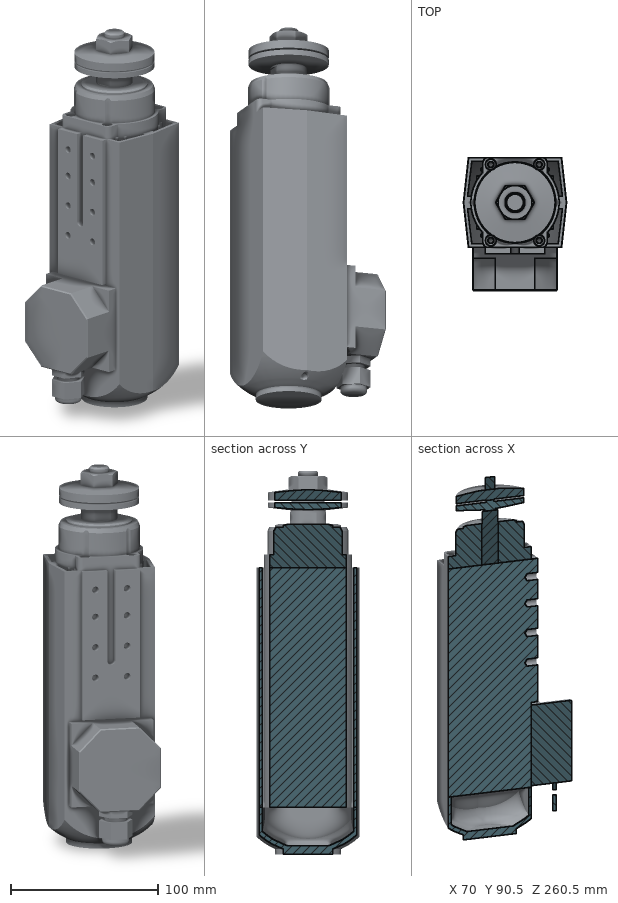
import cadquery as cq
import math

BODY_HALF_X = 70.0 / 2
FACE_HALF_X = 63.3 / 2
BODY_HALF_Y = 61.0 / 2
HOUSING_BOTTOM = 31.8
HOUSING_TOP = 194.9
WALL = 2.3
PAD_HALF_Y = 8.5 / 2
CORE_RIB_RADIUS = 1.3
CORE_RIBS = ((24.7, 17.0), (22.0, 22.5))

RAIL_HALF_X = 40.0 / 2
RAIL_THICKNESS = 4.5
RAIL_BOTTOM = 92.2
SLOT_WIDTH = 5.5
SLOT_BOTTOM = 129.7
RAIL_HOLE_X = 22.1 / 2
RAIL_HOLE_HEIGHTS = (121.1, 142.2, 163.3, 182.0)
RAIL_HOLE_DIAMETER = 4.7
RAIL_HOLE_DEPTH = 7.8

FLANGE_RADIUS = 30.0
FLANGE_HALF_X = 43.5 / 2
FLANGE_CORNER = 3.5
FLANGE_TOP = 203.7
SHIELD_RADIUS = 27.5
SHIELD_TOP = 222.5
SHIELD_CHAMFER = 2.9
SHIELD_RIM_INSET = 1.3
COLLAR_RADIUS = 22.5
COLLAR_TOP = 224.3
COLLAR_EDGE_TOP = 223.5
COLLAR_TOP_RADIUS = 20.3
SCREW_X = 16.5
SCREW_Y = 25.8
COUNTERBORE_DIAMETER = 7.3
COUNTERBORE_DEPTH = 6.5
SCREW_HOLE_DIAMETER = 4.0
THREAD_DEPTH = 7.8

SHAFT_RADIUS = 24.7 / 2
SHAFT_TOP = 233.0
FLAT_HALF_Y = 11.0
FLAT_BOTTOM = 224.8
FLAT_TOP = 232.4
STUD_RADIUS = 6.8
STUD_TOP = 260.5
STUD_CHAMFER = 1.0
CLAMP_RADIUS = 54.5 / 2
LOWER_HUB_RADIUS = 11.7
LOWER_HUB_TOP = 233.7
LOWER_DISC_BOTTOM = 235.5
LOWER_DISC_TOP = 239.1
NECK_RADIUS = 22.7 / 2
UPPER_DISC_BOTTOM = 240.5
UPPER_HUB_RADIUS = 13.0
UPPER_DISC_TOP = 246.0
NUT_BOTTOM = 248.0
NUT_TOP = 256.9
NUT_ACROSS_FLATS = 22.7
NUT_CHAMFER = 0.8

CAP_FOOT_RADIUS = 22.5
CAP_FOOT_TOP = 3.6
DOME_MIDDLE = (32.5, 10.0)
DOME_RIM = (44.0, 23.2)
CAP_WALL = 2.3
CAP_HOLE_DIAMETER = 5.2
CAP_HOLE_HEIGHT = 8.5
CAP_HOLE_DEPTH = 6.3

BOX_HALF_X = 57.3 / 2
BOX_BOTTOM = 32.8
BOX_TOP = 90.7
BOX_FRONT = -60.0
BOX_BASE_FRONT = -37.8
BOX_CORNER_CUT = 15.0
BOX_EDGE_CHAMFER = 0.8
GLAND_Y = -47.2
GLAND_ACROSS_FLATS = 20.3
GLAND_HEX_BOTTOM = 28.0
GLAND_NECK_RADIUS = 15.4 / 2
GLAND_NUT_TOP = 24.7
GLAND_NUT_BOTTOM = 13.0
GLAND_END_RADIUS = 9.0
GLAND_END_BOTTOM = 8.3
GLAND_END_ROUND = 2.5

DRILL_POINT_ANGLE = 118


def cylinder(radius, bottom, top, x=0, y=0):
    return cq.Workplane("XY", origin=(x, y, bottom)).circle(radius).extrude(top - bottom)


def block(x0, x1, y0, y1, z0, z1):
    return cq.Workplane("XY").box(x1 - x0, y1 - y0, z1 - z0, centered=False).translate((x0, y0, z0))


def hexagon(across_flats, bottom, top, y=0):
    """Hexagonal prism with two corners on the X direction."""
    across_corners = across_flats / math.cos(math.pi / 6)
    return cq.Workplane("XY", origin=(0, y, bottom)).polygon(6, across_corners).extrude(top - bottom)


def revolve(points):
    """Solid of revolution about Z from (radius, height) points."""
    return cq.Workplane("XZ").polyline(points).close().revolve(360, (0, 0), (0, 1))


def drill(point, direction, diameter, depth):
    """Blind drilled hole with a conical end, as a cutting solid."""
    radius = diameter / 2
    tip = radius / math.tan(math.radians(DRILL_POINT_ANGLE / 2))
    start, axis = cq.Vector(*point), cq.Vector(*direction)
    straight = cq.Solid.makeCylinder(radius, depth, start, axis)
    end = cq.Solid.makeCone(radius, 0, tip, start + axis * depth, axis)
    return cq.Workplane(straight.fuse(end))


def body_profile(bottom, top, inset=0):
    """Six-sided outer outline of the motor, moved inwards by inset."""
    side_x = BODY_HALF_X - inset
    face_x = FACE_HALF_X - inset
    face_y = BODY_HALF_Y - inset
    half = [(face_x, -face_y), (side_x, 0), (face_x, face_y)]
    points = half + [(-x, -y) for x, y in half]
    return cq.Workplane("XY", origin=(0, 0, bottom)).polyline(points).close().extrude(top - bottom)


def flange_outline(bottom, top):
    """Disc with two flat ears on the front and back that carry the screws."""
    ears = block(-FLANGE_HALF_X, FLANGE_HALF_X, -BODY_HALF_Y, BODY_HALF_Y, bottom, top)
    ears = ears.edges("|Z").fillet(FLANGE_CORNER)
    return cylinder(FLANGE_RADIUS, bottom, top).union(ears)


def screw_places():
    return [(sx * SCREW_X, sy * SCREW_Y) for sx in (-1, 1) for sy in (-1, 1)]


def make_housing():
    housing = body_profile(HOUSING_BOTTOM, HOUSING_TOP)
    channels = body_profile(HOUSING_BOTTOM, HOUSING_TOP, WALL)
    channels = channels.cut(flange_outline(HOUSING_BOTTOM, HOUSING_TOP))
    channels = channels.cut(
        block(-BODY_HALF_X, BODY_HALF_X, -PAD_HALF_Y, PAD_HALF_Y, HOUSING_BOTTOM, HOUSING_TOP)
    )
    for x, y in CORE_RIBS:
        for sx in (-1, 1):
            for sy in (-1, 1):
                channels = channels.cut(
                    cylinder(CORE_RIB_RADIUS, HOUSING_BOTTOM, HOUSING_TOP, sx * x, sy * y)
                )
    housing = housing.cut(channels)
    rail_front = -BODY_HALF_Y - RAIL_THICKNESS
    housing = housing.union(
        block(-RAIL_HALF_X, RAIL_HALF_X, rail_front, -BODY_HALF_Y, RAIL_BOTTOM, HOUSING_TOP)
    )
    slot_centre = SLOT_BOTTOM + SLOT_WIDTH / 2
    slot = block(-SLOT_WIDTH / 2, SLOT_WIDTH / 2, rail_front, -BODY_HALF_Y, slot_centre, HOUSING_TOP)
    slot_end = cq.Workplane("XZ", origin=(0, -BODY_HALF_Y, slot_centre)).circle(SLOT_WIDTH / 2)
    housing = housing.cut(slot.union(slot_end.extrude(RAIL_THICKNESS)))
    for x in (-RAIL_HOLE_X, RAIL_HOLE_X):
        for z in RAIL_HOLE_HEIGHTS:
            housing = housing.cut(
                drill((x, rail_front, z), (0, 1, 0), RAIL_HOLE_DIAMETER, RAIL_HOLE_DEPTH)
            )
    for x, y in screw_places():
        housing = housing.cut(drill((x, y, HOUSING_TOP), (0, 0, -1), SCREW_HOLE_DIAMETER, THREAD_DEPTH))
    return housing


def make_shield():
    rim = SHIELD_RADIUS - SHIELD_RIM_INSET
    barrel = revolve([
        (0, HOUSING_TOP),
        (SHIELD_RADIUS, HOUSING_TOP),
        (SHIELD_RADIUS, SHIELD_TOP - SHIELD_CHAMFER),
        (rim, SHIELD_TOP),
        (COLLAR_RADIUS, SHIELD_TOP),
        (COLLAR_RADIUS, COLLAR_EDGE_TOP),
        (COLLAR_TOP_RADIUS, COLLAR_TOP),
        (0, COLLAR_TOP),
    ])
    shield = flange_outline(HOUSING_TOP, FLANGE_TOP).union(barrel)
    for x, y in screw_places():
        shield = shield.cut(
            cylinder(COUNTERBORE_DIAMETER / 2, FLANGE_TOP - COUNTERBORE_DEPTH, SHIELD_TOP, x, y)
        )
        shield = shield.cut(cylinder(SCREW_HOLE_DIAMETER / 2, HOUSING_TOP, FLANGE_TOP, x, y))
    return shield.cut(cylinder(SHAFT_RADIUS, HOUSING_TOP, COLLAR_TOP))


def make_shaft():
    shaft = cylinder(SHAFT_RADIUS, HOUSING_TOP, SHAFT_TOP)
    for side in (-1, 1):
        y0, y1 = sorted((side * FLAT_HALF_Y, side * SHAFT_RADIUS))
        shaft = shaft.cut(block(-SHAFT_RADIUS, SHAFT_RADIUS, y0, y1, FLAT_BOTTOM, FLAT_TOP))
    stud = cylinder(STUD_RADIUS, SHAFT_TOP, STUD_TOP).faces(">Z").chamfer(STUD_CHAMFER)
    return shaft.union(stud)


def make_lower_clamp():
    return revolve([
        (STUD_RADIUS, SHAFT_TOP),
        (LOWER_HUB_RADIUS, SHAFT_TOP),
        (LOWER_HUB_RADIUS, LOWER_HUB_TOP),
        (CLAMP_RADIUS, LOWER_DISC_BOTTOM),
        (CLAMP_RADIUS, LOWER_DISC_TOP),
        (NECK_RADIUS, LOWER_DISC_TOP),
        (NECK_RADIUS, UPPER_DISC_BOTTOM),
        (STUD_RADIUS, UPPER_DISC_BOTTOM),
    ])


def make_upper_clamp():
    return revolve([
        (STUD_RADIUS, UPPER_DISC_BOTTOM),
        (CLAMP_RADIUS, UPPER_DISC_BOTTOM),
        (CLAMP_RADIUS, UPPER_DISC_TOP),
        (UPPER_HUB_RADIUS, NUT_BOTTOM),
        (STUD_RADIUS, NUT_BOTTOM),
    ])


def make_nut():
    nut = hexagon(NUT_ACROSS_FLATS, NUT_BOTTOM, NUT_TOP)
    corner_radius = NUT_ACROSS_FLATS / 2 / math.cos(math.pi / 6)
    rounding = cylinder(corner_radius, NUT_BOTTOM, NUT_TOP)
    rounding = rounding.faces(">Z").chamfer(NUT_CHAMFER, 2 * NUT_CHAMFER)
    return nut.intersect(rounding).cut(cylinder(STUD_RADIUS, NUT_BOTTOM, NUT_TOP))


def dome(inset):
    """Bowl that closes the rear end, pulled inwards and upwards by inset."""
    middle = (DOME_MIDDLE[0] - inset, DOME_MIDDLE[1] + inset)
    rim = (DOME_RIM[0] - inset, DOME_RIM[1] + inset)
    bowl = (
        cq.Workplane("XZ")
        .moveTo(0, CAP_FOOT_TOP + inset)
        .lineTo(CAP_FOOT_RADIUS - inset, CAP_FOOT_TOP + inset)
        .threePointArc(middle, rim)
        .lineTo(rim[0], HOUSING_BOTTOM)
        .lineTo(0, HOUSING_BOTTOM)
        .close()
    )
    return bowl.revolve(360, (0, 0), (0, 1))


def make_rear_cap():
    cap = body_profile(CAP_FOOT_TOP, HOUSING_BOTTOM).intersect(dome(0))
    cap = cap.cut(body_profile(CAP_FOOT_TOP, HOUSING_BOTTOM, CAP_WALL).intersect(dome(CAP_WALL)))
    cap = cap.union(cylinder(CAP_FOOT_RADIUS, 0, CAP_FOOT_TOP))
    return cap.cut(
        drill((-BODY_HALF_X, 0, CAP_HOLE_HEIGHT), (1, 0, 0), CAP_HOLE_DIAMETER, CAP_HOLE_DEPTH)
    )


def make_terminal_box():
    base = block(-BOX_HALF_X, BOX_HALF_X, BOX_BASE_FRONT, -BODY_HALF_Y, BOX_BOTTOM, BOX_TOP)
    cover = block(-BOX_HALF_X, BOX_HALF_X, BOX_FRONT, BOX_BASE_FRONT, BOX_BOTTOM, BOX_TOP)
    cover = cover.edges("|Y").chamfer(BOX_CORNER_CUT).faces("<Y").chamfer(BOX_EDGE_CHAMFER)
    return base.union(cover)


def make_gland_body():
    collar = hexagon(GLAND_ACROSS_FLATS, GLAND_HEX_BOTTOM, BOX_BOTTOM, GLAND_Y)
    return collar.union(cylinder(GLAND_NECK_RADIUS, GLAND_NUT_TOP, GLAND_HEX_BOTTOM, y=GLAND_Y))


def make_gland_nut():
    nut = hexagon(GLAND_ACROSS_FLATS, GLAND_NUT_BOTTOM, GLAND_NUT_TOP, GLAND_Y)
    end = cylinder(GLAND_END_RADIUS, GLAND_END_BOTTOM, GLAND_NUT_BOTTOM, y=GLAND_Y)
    return nut.union(end.faces("<Z").edges().fillet(GLAND_END_ROUND))


housing = make_housing()
shield = make_shield()
shaft = make_shaft()
lower_clamp = make_lower_clamp()
upper_clamp = make_upper_clamp()
nut = make_nut()
rear_cap = make_rear_cap()
terminal_box = make_terminal_box()
gland_body = make_gland_body()
gland_nut = make_gland_nut()

result = cq.Compound.makeCompound([
    housing.val(),
    shield.val(),
    shaft.val(),
    lower_clamp.val(),
    upper_clamp.val(),
    nut.val(),
    rear_cap.val(),
    terminal_box.val(),
    gland_body.val(),
    gland_nut.val(),
])